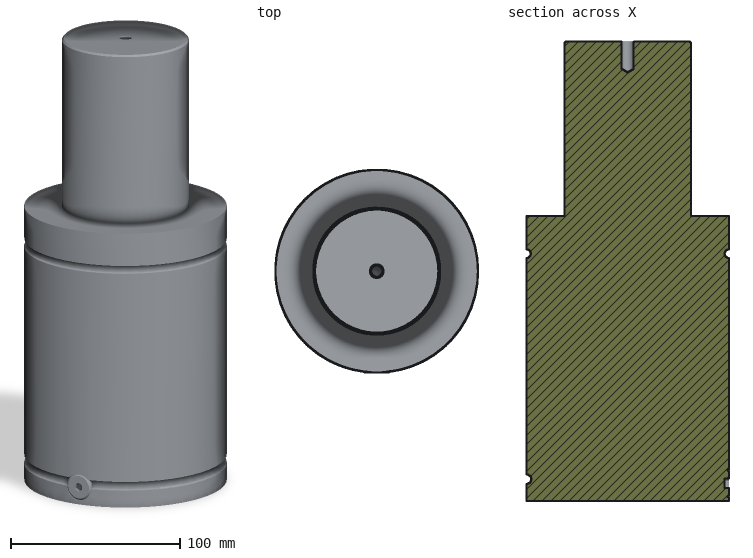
import cadquery as cq
import math

total_height = 272.0
body_diameter = 120.0
body_height = 168.6
rod_diameter = 75.0
rod_chamfer = 1.0
body_radius = body_diameter / 2

upper_groove_z = 146.3
upper_groove_radius = 2.5
lower_groove_z = 13.0
lower_groove_radius = 2.7

rod_hole_diameter = 6.8
rod_hole_mouth_diameter = 8.0
rod_hole_depth = 16.3
drill_point_angle = 118.0

port_z = 10.5
port_diameter = 16.0
plug_face_diameter = 14.0
plug_chamfer = (port_diameter - plug_face_diameter) / 2
plug_length = 8.2
hex_socket_across_flats = 4.5
hex_socket_depth = 2.7


def make_cylinder_and_rod():
    body = cq.Workplane("XY").circle(body_radius).extrude(body_height)
    rod = cq.Workplane("XY").circle(rod_diameter / 2).extrude(total_height)
    rod = rod.faces(">Z").chamfer(rod_chamfer)
    return body.union(rod)


def make_groove_cutter(z, radius):
    torus = cq.Solid.makeTorus(body_radius, radius, cq.Vector(0, 0, z), cq.Vector(0, 0, 1))
    return cq.Workplane(torus)


def make_rod_hole_cutter():
    hole_radius = rod_hole_diameter / 2
    mouth_radius = rod_hole_mouth_diameter / 2
    mouth_bottom = total_height - (mouth_radius - hole_radius)
    hole_bottom = total_height - rod_hole_depth
    tip_length = hole_radius / math.tan(math.radians(drill_point_angle / 2))
    return (
        cq.Workplane("XZ")
        .moveTo(0, total_height)
        .lineTo(mouth_radius, total_height)
        .lineTo(hole_radius, mouth_bottom)
        .lineTo(hole_radius, hole_bottom)
        .lineTo(0, hole_bottom - tip_length)
        .close()
        .revolve(360, (0, 0, 0), (0, 1, 0))
    )


def port_workplane():
    """Plane tangent to the body at the port, with its normal pointing inward."""
    plane = cq.Plane(origin=(0, -body_radius, port_z), xDir=(0, 0, 1), normal=(0, 1, 0))
    return cq.Workplane(plane)


def make_port_cutter():
    return port_workplane().circle(port_diameter / 2).extrude(plug_length)


def make_plug():
    """Plug that fills the port and bridges the lower groove."""
    plug = port_workplane().circle(port_diameter / 2).extrude(plug_length)
    plug = plug.faces("<Y").chamfer(plug_chamfer)
    hex_across_corners = hex_socket_across_flats / math.cos(math.radians(30))
    return plug.cut(port_workplane().polygon(6, hex_across_corners).extrude(hex_socket_depth))


result = make_cylinder_and_rod()
result = result.cut(make_groove_cutter(upper_groove_z, upper_groove_radius))
result = result.cut(make_groove_cutter(lower_groove_z, lower_groove_radius))
result = result.cut(make_rod_hole_cutter())
result = result.cut(make_port_cutter())
result = result.union(make_plug())